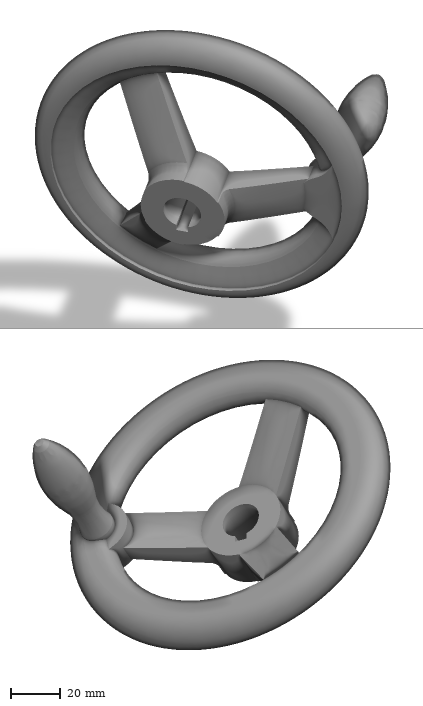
import cadquery as cq
import math


hub_radius = 17.5
hub_length = 18.9
bore_radius = 8.0
key_width = 5.0
key_depth = 10.4

rim_outer_radius = 70.0
rim_inner_radius = 50.4
rim_inner_y = 30.1
rim_back_inner_radius = 57.4
rim_front = 21.0
rim_back = 38.2
lip_radius = 61.5
cone_front = 22.7
cone_back = 26.2
cone_back_radius = 53.0

spoke_count = 3
spoke_root_half_width = 9.7
spoke_root_radius = 17.9
spoke_tip_half_width = 9.0
spoke_tip_radius = 53.2
spoke_front_slope = 0.54
front_crossing_radius = 42.3
spoke_rear_slope = 0.42
root_fillet_radius = 19.6
root_fillet_start = 4.8
root_fillet_middle = (18.3, 7.0)

handle_offset = 55.1
handle_base_radius = 7.3
handle_base_end = 39.2
neck_radius = 5.9
neck_y = 48.5
grip_start_radius = 7.4
grip_start = 56.8
grip_radius = 10.0
grip_y = 71.0
tip_edge_radius = 3.5
tip_edge = 95.6
tip_radius = 1.8
tip_end = 97.5

pad_back = 36.4
pad_tip_x = 42.7
pad_shoulder = (49.3, 11.0)
pad_flare_middle = (54.3, 15.4)
pad_flare_end = (57.0, 21.1)


def revolve_about_y(profile):
    return profile.close().revolve(360, (0, 0, 0), (0, 1, 0))


def plan_prism(outline, front, back):
    """Extrude a closed XZ outline along +Y from front to back."""
    return outline.extrude(front - back).translate((0, front, 0))


def make_rim():
    rim_middle = (rim_front + rim_back) / 2
    rim_round = (rim_back - rim_front) / 2
    crown_radius = rim_outer_radius - rim_round
    profile = (
        cq.Workplane("XY")
        .moveTo(crown_radius, rim_front)
        .threePointArc((rim_outer_radius, rim_middle), (crown_radius, rim_back))
        .lineTo(rim_back_inner_radius, rim_back)
        .threePointArc((rim_inner_radius, rim_inner_y), (cone_back_radius, cone_back))
        .lineTo(lip_radius, cone_front)
        .lineTo(lip_radius, rim_front)
    )
    return revolve_about_y(profile)


def spoke_front_y(radius):
    return rim_front + spoke_front_slope * (radius - front_crossing_radius)


def make_spokes():
    web_profile = (
        cq.Workplane("XY")
        .lineTo(spoke_root_radius, 0)
        .lineTo(spoke_root_radius, root_fillet_start)
        .threePointArc(root_fillet_middle, (root_fillet_radius, spoke_front_y(root_fillet_radius)))
        .lineTo(spoke_tip_radius, spoke_front_y(spoke_tip_radius))
        .lineTo(spoke_tip_radius, hub_length + spoke_rear_slope * (spoke_tip_radius - hub_radius))
        .lineTo(hub_radius, hub_length)
        .lineTo(0, hub_length)
    )
    web = revolve_about_y(web_profile)
    plan_length = spoke_tip_radius + 1.4
    plan = cq.Workplane("XZ").polyline([
        (0, -spoke_root_half_width),
        (plan_length, -spoke_tip_half_width),
        (plan_length, spoke_tip_half_width),
        (0, spoke_root_half_width),
    ]).close()
    spoke = web.intersect(plan_prism(plan, 0, rim_back))
    spokes = spoke
    for i in range(1, spoke_count):
        spokes = spokes.union(spoke.rotate((0, 0, 0), (0, 1, 0), i * 360 / spoke_count))
    return spokes


def make_pad():
    shoulder_x, shoulder_z = pad_shoulder
    middle_x, middle_z = pad_flare_middle
    end_x, end_z = pad_flare_end
    outline = (
        cq.Workplane("XZ")
        .moveTo(shoulder_x, -shoulder_z)
        .threePointArc((pad_tip_x, 0), (shoulder_x, shoulder_z))
        .threePointArc((middle_x, middle_z), (end_x, end_z))
        .threePointArc((math.hypot(end_x, end_z), 0), (end_x, -end_z))
        .threePointArc((middle_x, -middle_z), (shoulder_x, -shoulder_z))
    )
    return plan_prism(outline.close(), cone_front, pad_back)


def make_handle():
    buried_end = (cone_front + rim_back) / 2
    profile = (
        cq.Workplane("XY")
        .moveTo(0, buried_end)
        .lineTo(handle_base_radius, buried_end)
        .lineTo(handle_base_radius, handle_base_end)
        .threePointArc((neck_radius, neck_y), (grip_start_radius, grip_start))
        .spline([(grip_radius, grip_y), (tip_edge_radius, tip_edge)], includeCurrent=True)
        .lineTo(tip_radius, tip_end)
        .lineTo(0, tip_end)
    )
    return revolve_about_y(profile).translate((handle_offset, 0, 0))


def make_bore():
    bore = plan_prism(cq.Workplane("XZ").circle(bore_radius), 0, hub_length)
    keyway = cq.Workplane("XY").box(key_width, hub_length, key_depth, centered=(True, False, False))
    return bore.union(keyway.translate((0, 0, -key_depth)))


hub = plan_prism(cq.Workplane("XZ").circle(hub_radius), 0, hub_length)
result = hub.union(make_spokes()).union(make_rim()).union(make_pad()).union(make_handle()).cut(make_bore())